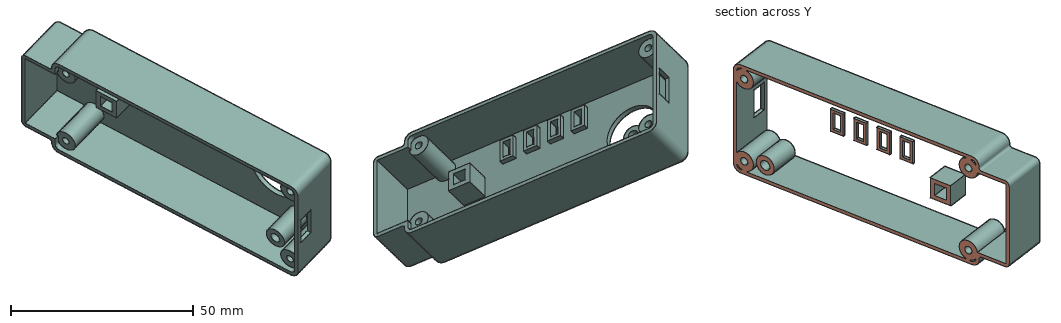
import cadquery as cq

length = 93.2
depth = 16.5
height = 35.7
wall = 1.2
plate = 1.5
plate_front = depth - plate
body_left = 10.2
neck_height = 28.4
body_corner = 2.6
neck_corner = 1.6
step_fillet = 0.7
back_fillet = 1.4

screw_x_positions = (13.9, 89.5)
screw_z = 13.5
screw_boss_radius = 3.2
screw_hole_radius = 1.1
screw_boss_front = 1.5

post_x = 82.4
post_z = -12.1
post_radius = 3.1
post_hole_radius = 1.5
post_front = 4.5

window_x = 75.1
window_radius = 8.2

tube_x = 23.3
tube_z = 2.05
tube_size_x = 7.0
tube_size_z = 6.7
tube_hole = 3.8
tube_length = 7.6

slot_count = 4
slot_first_x = 34.8
slot_pitch = 7.8
slot_z = 11.3
slot_size_x = 2.3
slot_size_z = 5.3
slot_rim = 1.0
slot_rim_length = 1.5

port_y = 3.7
port_size_y = 4.75
port_size_z = 9.0


def block(x_left, x_right, z_size, y_back):
    """Box from Y = 0 to y_back, between two X limits and centred on Z = 0."""
    box = cq.Workplane("XY").box(x_right - x_left, y_back, z_size)
    return box.translate(((x_left + x_right) / 2, y_back / 2, 0))


def bar(x, z, size_x, size_z, y_front, y_back):
    """Rectangular bar along Y centred on (x, z)."""
    box = cq.Workplane("XY").box(size_x, y_back - y_front, size_z)
    return box.translate((x, (y_front + y_back) / 2, z))


def rod(x, z, radius, y_front, y_back):
    """Round bar along Y centred on (x, z)."""
    start = cq.Vector(x, y_front, z)
    along_y = cq.Vector(0, 1, 0)
    return cq.Workplane(cq.Solid.makeCylinder(radius, y_back - y_front, start, along_y))


def outer_shape():
    """Solid envelope with rounded corners, rounded steps and a rounded back edge."""
    body = block(body_left, length, height, depth).edges("|Y").fillet(body_corner)
    neck = block(0, body_left + body_corner, neck_height, depth)
    neck = neck.edges("|Y and <X").fillet(neck_corner)
    envelope = body.union(neck)
    step_edges = cq.selectors.BoxSelector(
        (body_left - wall, 0, -neck_height / 2 - wall),
        (body_left + wall, depth, neck_height / 2 + wall),
    )
    envelope = envelope.edges("|Y").edges(step_edges).fillet(step_fillet)
    return envelope.faces(">Y").edges().fillet(back_fillet)


def cavity():
    """Inside of the shell, with square corners in the neck."""
    body = block(body_left + wall, length - wall, height - 2 * wall, plate_front)
    body = body.edges("|Y").fillet(body_corner - wall)
    neck = block(wall, body_left + body_corner, neck_height - 2 * wall, plate_front)
    return body.union(neck)


envelope = outer_shape()
bosses = []
holes = []

for x in screw_x_positions:
    for z in (-screw_z, screw_z):
        bosses.append(rod(x, z, screw_boss_radius, screw_boss_front, plate_front))
        holes.append(rod(x, z, screw_hole_radius, 0, depth))

bosses.append(rod(post_x, post_z, post_radius, post_front, plate_front))
holes.append(rod(post_x, post_z, post_hole_radius, 0, depth))

holes.append(rod(window_x, 0, window_radius, 0, depth))

bosses.append(bar(tube_x, tube_z, tube_size_x, tube_size_z, plate_front - tube_length, plate_front))
holes.append(bar(tube_x, tube_z, tube_hole, tube_hole, 0, depth))

rim_size_x = slot_size_x + 2 * slot_rim
rim_size_z = slot_size_z + 2 * slot_rim
for index in range(slot_count):
    x = slot_first_x + index * slot_pitch
    bosses.append(bar(x, slot_z, rim_size_x, rim_size_z, plate_front - slot_rim_length, plate_front))
    holes.append(bar(x, slot_z, slot_size_x, slot_size_z, 0, depth))

port_front = port_y - port_size_y / 2
port_back = port_y + port_size_y / 2
holes.append(bar(length - wall / 2, 0, 2 * wall, port_size_z, port_front, port_back))

result = envelope.cut(cavity())
for boss in bosses:
    result = result.union(boss.intersect(envelope))
for hole in holes:
    result = result.cut(hole)